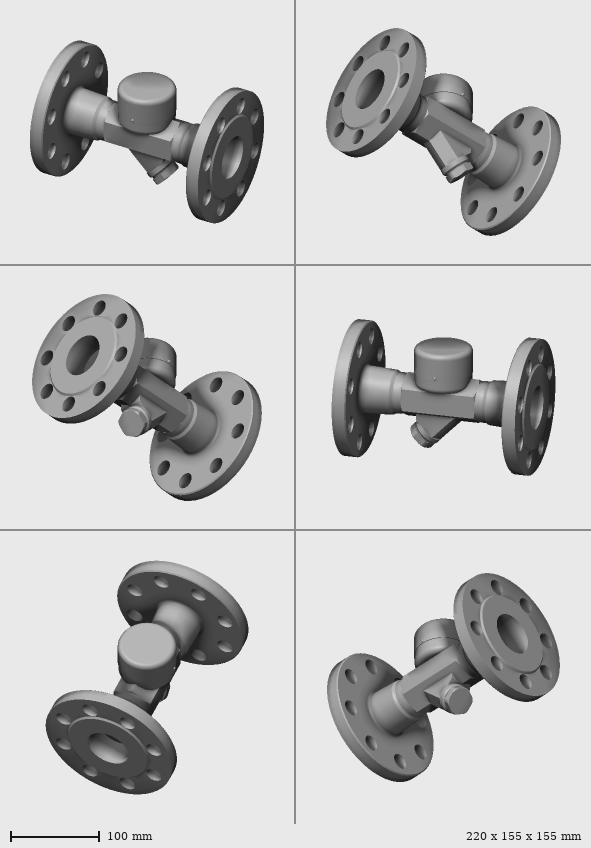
import cadquery as cq
import math

overall_length = 220.0
half_length = overall_length / 2

flange_diameter = 155.0
flange_thickness = 16.0
flange_rim_chamfer = 1.3
raised_face_diameter = 96.0
raised_face_base_diameter = 100.0
raised_face_height = 2.0
bolt_count = 8
bolt_hole_diameter = 19.0
bolt_circle_diameter = 120.0
bore_diameter = 50.0
bore_depth = 30.0

neck_root_radius = 27.0
neck_end_radius = 25.5
neck_root_fillet = 3.3
neck_length = 35.0
neck_bevel_length = 3.5
weld_length = 4.8
body_joint_diameter = 46.0
weld_diameter = 47.0

body_length = 87.1
body_across_flats = 45.0
body_end_diameter = 46.6
body_chamfer_angle = 30.0

cap_diameter = 66.5
cap_seat_diameter = 65.0
cap_top = 61.5
cap_split = 31.5
cap_bottom = 14.0
cap_top_fillet = 5.5
cap_bottom_fillet = 6.5
bump_radius = 1.8
bump_height = 34.0

branch_angle = 45.0
branch_offset = 16.5
branch_across_flats = 29.0
branch_root = -8.8
branch_end = 37.6
branch_wall_x = 28.2
branch_upper_reach = 26.5
collar_diameter = 34.0
collar_thickness = 7.7
collar_chamfer = 2.0
plug_neck_diameter = 29.0
plug_neck_length = 1.5
plug_across_flats = 30.0
plug_turned_diameter = 32.8
plug_height = 8.1
plug_chamfer = 1.0


def hexagon_diameter(across_flats):
    """Corner-to-corner size of a regular hexagon."""
    return across_flats / math.cos(math.radians(30))


def make_end(side):
    """Flange, tapered neck and weld ring at one end; side is -1 or +1."""
    face = -half_length
    front = face + raised_face_height
    back = front + flange_thickness
    neck_end = back + neck_length
    weld_start = neck_end + neck_bevel_length
    weld_end = weld_start + weld_length
    flange_radius = flange_diameter / 2
    fillet_mid = neck_root_fillet * (1 - math.sin(math.radians(45)))
    profile = (
        cq.Workplane("XY")
        .moveTo(face, 0)
        .lineTo(face, raised_face_diameter / 2)
        .lineTo(front, raised_face_base_diameter / 2)
        .lineTo(front, flange_radius)
        .lineTo(back - flange_rim_chamfer, flange_radius)
        .lineTo(back, flange_radius - flange_rim_chamfer)
        .lineTo(back, neck_root_radius + neck_root_fillet)
        .threePointArc(
            (back + fillet_mid, neck_root_radius + fillet_mid),
            (back + neck_root_fillet, neck_root_radius),
        )
        .lineTo(neck_end, neck_end_radius)
        .lineTo(weld_start, weld_diameter / 2)
        .lineTo(weld_end, weld_diameter / 2)
        .lineTo(-body_length / 2, body_joint_diameter / 2)
        .lineTo(-body_length / 2, 0)
        .close()
    )
    end = profile.revolve(360, (0, 0, 0), (1, 0, 0))
    bore = cq.Workplane("YZ", origin=(face, 0, 0)).circle(bore_diameter / 2).extrude(bore_depth)
    bolt_holes = (
        cq.Workplane("YZ", origin=(front, 0, 0))
        .polarArray(bolt_circle_diameter / 2, 180 / bolt_count, 360, bolt_count)
        .circle(bolt_hole_diameter / 2)
        .extrude(flange_thickness)
    )
    end = end.cut(bore).cut(bolt_holes)
    if side > 0:
        end = end.mirror("YZ")
    return end


def make_body():
    """Hexagonal bar with corners up and down and turned end chamfers."""
    corner_diameter = hexagon_diameter(body_across_flats)
    bar = (
        cq.Workplane("YZ", origin=(-body_length / 2, 0, 0))
        .transformed(rotate=(0, 0, 90))
        .polygon(6, corner_diameter)
        .extrude(body_length)
    )
    chamfer_depth = (corner_diameter - body_end_diameter) / 2
    chamfer_length = chamfer_depth * math.tan(math.radians(body_chamfer_angle))
    turned = (
        cq.Workplane("YZ", origin=(-body_length / 2, 0, 0))
        .circle(corner_diameter / 2)
        .extrude(body_length)
        .faces("<X or >X")
        .chamfer(chamfer_length, chamfer_depth)
    )
    return bar.intersect(turned)


def make_cap():
    """Round cap on a slightly smaller seat, with a bump on each side."""
    seat = (
        cq.Workplane("XY", origin=(0, 0, cap_bottom))
        .circle(cap_seat_diameter / 2)
        .extrude(cap_split - cap_bottom)
        .faces("<Z")
        .edges()
        .fillet(cap_bottom_fillet)
    )
    cap = (
        cq.Workplane("XY", origin=(0, 0, cap_split))
        .circle(cap_diameter / 2)
        .extrude(cap_top - cap_split)
        .faces(">Z")
        .edges()
        .fillet(cap_top_fillet)
        .union(seat)
    )
    for side in (-1, 1):
        bump = cq.Workplane("XY").sphere(bump_radius)
        cap = cap.union(bump.translate((0, side * cap_diameter / 2, bump_height)))
    return cap


def make_branch():
    """Half-hexagonal inclined branch with a round collar and a hexagonal plug."""
    slope = math.radians(branch_angle)
    axis = cq.Vector(math.sin(slope), 0, -math.cos(slope))
    across = cq.Vector(math.cos(slope), 0, math.sin(slope))

    def section(distance):
        """Plane across the branch axis, at a distance along it."""
        origin = axis * distance - across * branch_offset
        return cq.Workplane(cq.Plane(origin=origin, xDir=across, normal=axis))

    half_width = branch_across_flats / 2
    corner_radius = hexagon_diameter(branch_across_flats) / 2
    block = (
        section(branch_root)
        .moveTo(-corner_radius, 0)
        .lineTo(-corner_radius / 2, half_width)
        .lineTo(branch_upper_reach, half_width)
        .lineTo(branch_upper_reach, -half_width)
        .lineTo(-corner_radius / 2, -half_width)
        .close()
        .extrude(branch_end - branch_root)
    )
    outside = cq.Workplane("XY").box(
        overall_length, overall_length, overall_length, centered=(False, True, True)
    )
    block = block.cut(outside.translate((branch_wall_x, 0, 0)))

    far_edges = cq.selectors.DirectionMinMaxSelector(axis, True)
    collar = section(branch_end).circle(collar_diameter / 2).extrude(collar_thickness)
    collar = collar.edges(far_edges).chamfer(collar_chamfer)

    collar_end = branch_end + collar_thickness
    plug_neck = section(collar_end).circle(plug_neck_diameter / 2).extrude(plug_neck_length)

    plug_start = collar_end + plug_neck_length
    hexagon = section(plug_start).polygon(6, hexagon_diameter(plug_across_flats)).extrude(plug_height)
    turned = section(plug_start).circle(plug_turned_diameter / 2).extrude(plug_height)
    plug = hexagon.intersect(turned.edges(far_edges).chamfer(plug_chamfer))
    return block.union(collar).union(plug_neck).union(plug)


result = make_body().union(make_end(-1)).union(make_end(1)).union(make_branch()).union(make_cap())